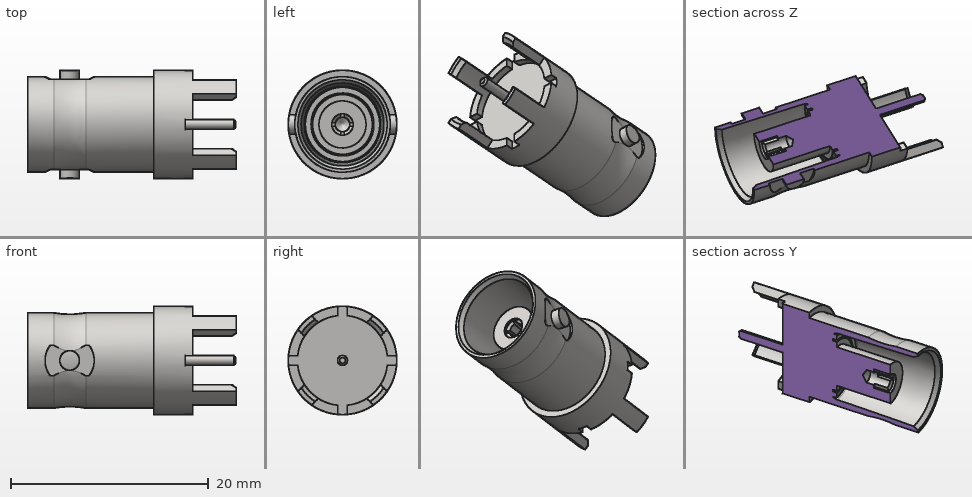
import cadquery as cq
import math

total_length = 21.1
collar_start = 12.75
collar_end = 16.71
rear_cavity_depth = 0.78
cavity_floor = collar_end - rear_cavity_depth

body_radius = 4.83
collar_diameter = 11.0
collar_radius = collar_diameter / 2
rear_cavity_radius = 4.55

stud_x = 4.25
stud_radius = 1.0
stud_root_radius = 4.4
groove_width = 3.25
groove_depth = 0.15
flat_radius = 2.5
flat_height = 4.58

mouth_radius = 4.52
mouth_chamfer_depth = 0.5
socket_front_radius = 4.2
socket_rear_radius = 4.03
socket_depth = 9.5
ring_outer_radius = 3.88
ring_inner_radius = 3.19
ring_chamfer = 0.13
ring_height = 0.5
shoulder_radius = 3.02

nose_radius = 2.38
nose_front = 3.23
contact_radius = 1.08
contact_recess = 0.27
contact_front = nose_front + contact_recess
contact_cone_half_angle = 59.0
contact_bore_radius = 0.74
contact_bore_depth = 2.53
contact_slot_width = 0.34
contact_slot_depth = 1.69
contact_slot_outer_radius = 1.12

pin_radius = 0.5
pin_end = 21.04
pin_chamfer = 0.21
leg_width = 1.96
leg_chamfer = 0.45
notch_width = 1.0


def revolve_profile(points):
    """Revolve a closed (x, radius) outline about the X axis."""
    return cq.Workplane("XY").polyline(points).close().revolve(360, (0, 0, 0), (1, 0, 0))


def x_cylinder(radius, start, end):
    """Cylinder on the X axis between two stations."""
    return cq.Workplane("YZ").workplane(offset=start).circle(radius).extrude(end - start)


def radial_arms(start, end, width, first_angle=0):
    """Four bars crossing at the axis and reaching past the collar, a quarter turn apart."""
    span = 2 * collar_diameter
    bar = cq.Workplane("XY").box(end - start, span, width, centered=(False, True, True))
    bar = bar.translate((start, 0, 0)).rotate((0, 0, 0), (1, 0, 0), first_angle)
    return bar.union(bar.rotate((0, 0, 0), (1, 0, 0), 90))


def outer_shell():
    """Body with a concave waist groove, stepping up to the rear collar."""
    groove_start = stud_x - groove_width / 2
    groove_end = stud_x + groove_width / 2
    return (
        cq.Workplane("XY")
        .moveTo(0, 0)
        .lineTo(0, body_radius)
        .lineTo(groove_start, body_radius)
        .threePointArc((stud_x, body_radius - groove_depth), (groove_end, body_radius))
        .lineTo(collar_start, body_radius)
        .lineTo(collar_start, collar_radius)
        .lineTo(collar_end, collar_radius)
        .lineTo(collar_end, 0)
        .close()
        .revolve(360, (0, 0, 0), (1, 0, 0))
    )


def socket_cavity():
    """Tapered socket around the insulator, with a chamfered ring standing on its floor."""
    groove_bottom = socket_depth + ring_height
    ring_shoulder = socket_depth + ring_chamfer
    return revolve_profile([
        (0, 0),
        (0, mouth_radius),
        (mouth_chamfer_depth, socket_front_radius),
        (socket_depth, socket_rear_radius),
        (groove_bottom, ring_outer_radius),
        (ring_shoulder, ring_outer_radius),
        (socket_depth, ring_outer_radius - ring_chamfer),
        (socket_depth, ring_inner_radius),
        (groove_bottom, ring_inner_radius),
        (groove_bottom, shoulder_radius),
        (socket_depth, shoulder_radius),
        (socket_depth, nose_radius),
        (nose_front, nose_radius),
        (nose_front, 0),
    ])


def contact_bore():
    """Recess down to the contact, then its countersunk hole with a drill-point bottom."""
    cone_slope = math.tan(math.radians(contact_cone_half_angle))
    countersink_end = contact_front + (contact_radius - contact_bore_radius) / cone_slope
    bore_end = contact_front + contact_bore_depth
    point_end = bore_end + contact_bore_radius / cone_slope
    return revolve_profile([
        (nose_front, 0),
        (nose_front, contact_radius),
        (contact_front, contact_radius),
        (countersink_end, contact_bore_radius),
        (bore_end, contact_bore_radius),
        (point_end, 0),
    ])


def contact_slots():
    """Four slots splitting the front of the contact."""
    slot_end = contact_front + contact_slot_depth
    slots = radial_arms(contact_front, slot_end, contact_slot_width)
    return slots.intersect(x_cylinder(contact_slot_outer_radius, contact_front, slot_end))


def bayonet_flat(side):
    """Round spot face cut into the body on one side (+1 or -1 along Y)."""
    return cq.Workplane(
        cq.Plane(origin=(stud_x, side * flat_height, 0), xDir=(1, 0, 0), normal=(0, side, 0))
    ).circle(flat_radius).extrude(body_radius)


def bayonet_studs():
    """Studs on both sides, their ends rounded to the collar diameter."""
    stud_pair = (
        cq.Workplane("XZ")
        .center(stud_x, 0)
        .circle(stud_radius)
        .extrude(collar_radius, both=True)
    )
    envelope = x_cylinder(collar_radius, 0, collar_start)
    core = x_cylinder(stud_root_radius, 0, collar_start)
    return stud_pair.intersect(envelope).cut(core)


def ground_legs():
    """Four diagonal legs continuing the collar wall, chamfered inside at the tip."""
    wall = revolve_profile([
        (cavity_floor, rear_cavity_radius),
        (cavity_floor, collar_radius),
        (total_length, collar_radius),
        (total_length, rear_cavity_radius + leg_chamfer),
        (total_length - leg_chamfer, rear_cavity_radius),
    ])
    legs = radial_arms(cavity_floor, total_length, leg_width, first_angle=45)
    return legs.intersect(wall)


def solder_pin():
    """Centre pin rising from the rear cavity floor."""
    pin = x_cylinder(pin_radius, cavity_floor, pin_end)
    return pin.faces(">X").chamfer(pin_chamfer)


result = outer_shell()
for side in (1, -1):
    result = result.cut(bayonet_flat(side))
result = result.cut(socket_cavity()).cut(contact_bore()).cut(contact_slots())
result = result.cut(x_cylinder(rear_cavity_radius, cavity_floor, collar_end))
result = result.cut(radial_arms(cavity_floor, collar_end, notch_width))
result = result.union(bayonet_studs()).union(ground_legs()).union(solder_pin())